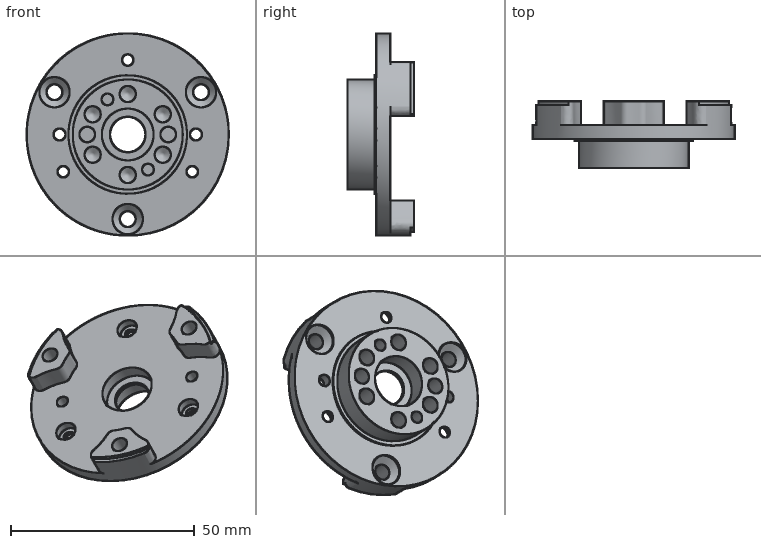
import cadquery as cq
import math


FLANGE_RADIUS = 27.5
FLANGE_THICKNESS = 3.85

HUB_RADIUS = 14.95
HUB_HEIGHT = 7.85
SHOULDER_RADIUS = 16.1
SHOULDER_HEIGHT = 0.5

BORE_RADIUS = 4.8
COUNTERBORE_RADIUS = 7.05
FRONT_COUNTERBORE_DEPTH = 6.7
BORE_LIP_THICKNESS = 1.0

HUB_HOLE_CIRCLE = 11.0
HUB_HOLE_DEPTH = 7.7
TAPPED_HOLE_DIAMETER = 4.4
TAPPED_HOLE_ANGLES = [30, 90, 150, 210, 270, 330]
DRILL_POINT_ANGLE = 118.0
LARGE_PIN_DIAMETER = 4.25
LARGE_PIN_ANGLES = [0, 180]
SMALL_PIN_DIAMETER = 3.2
SMALL_PIN_ANGLES = [120, 300]

OUTER_HOLE_CIRCLE = 20.25
OUTER_HOLE_DIAMETER = 3.0
OUTER_HOLE_LIP = 1.2
OUTER_COUNTERBORE_DIAMETER = 5.5
OUTER_HOLE_ANGLES = [90, 210, 330]
SIDE_HOLE_CIRCLE = 18.55
SIDE_HOLE_DIAMETER = 3.2
SIDE_HOLE_ANGLES = [0, 180]

LUG_ANGLES = [30, 150, 270]
LUG_HEIGHT = 6.5
LUG_INNER_RADIUS = 18.0
LUG_CORNER_RADIUS = 2.0
LUG_GAP_RADIUS = 16.5
LUG_STEP_RADIUS = 26.5
LUG_STEP_HEIGHT = 1.05
SCREW_CIRCLE = 23.0
SCREW_DIAMETER = 4.25
COUNTERSINK_DIAMETER = 8.25
COUNTERSINK_RIM_DEPTH = 0.6
COUNTERSINK_ANGLE = 90.0

BACK_FACE = FLANGE_THICKNESS + LUG_HEIGHT
FULL_TURN = 360


def points_on_circle(radius, angles):
    """X, Z positions at the given angles (degrees from +X towards +Z)."""
    return [
        (radius * math.cos(math.radians(a)), radius * math.sin(math.radians(a)))
        for a in angles
    ]


def plane_at(y):
    """Workplane across the axis at the given Y; extrusions run towards -Y."""
    return cq.Workplane("XZ", origin=(0, y, 0))


def cylinder(radius, y_front, y_back):
    return plane_at(y_back).circle(radius).extrude(y_back - y_front)


def hole_cutters(diameter, circle_radius, angles, y_front, y_back):
    centres = points_on_circle(circle_radius, angles)
    return plane_at(y_back).pushPoints(centres).circle(diameter / 2).extrude(y_back - y_front)


def make_lugs():
    """Ring parted by three large round gaps, with all upright corners rounded."""
    ring = cylinder(FLANGE_RADIUS, FLANGE_THICKNESS, BACK_FACE)
    ring = ring.cut(cylinder(LUG_INNER_RADIUS, FLANGE_THICKNESS, BACK_FACE))
    gaps = hole_cutters(
        2 * LUG_GAP_RADIUS, OUTER_HOLE_CIRCLE, OUTER_HOLE_ANGLES, FLANGE_THICKNESS, BACK_FACE
    )
    lugs = ring.cut(gaps).edges("|Y").fillet(LUG_CORNER_RADIUS)
    step_front = BACK_FACE - LUG_STEP_HEIGHT
    step = cylinder(FLANGE_RADIUS, step_front, BACK_FACE).cut(
        cylinder(LUG_STEP_RADIUS, step_front, BACK_FACE)
    )
    return lugs.cut(step)


def tapped_hole_cutter():
    """Blind hole along Y, ending in a drill point."""
    radius = TAPPED_HOLE_DIAMETER / 2
    point_length = radius / math.tan(math.radians(DRILL_POINT_ANGLE / 2))
    bottom = HUB_HOLE_DEPTH - HUB_HEIGHT
    profile = [
        (0, -HUB_HEIGHT),
        (radius, -HUB_HEIGHT),
        (radius, bottom),
        (0, bottom + point_length),
    ]
    return cq.Workplane("XY").polyline(profile).close().revolve(FULL_TURN, (0, 0, 0), (0, 1, 0))


def screw_hole_cutter():
    """Through hole along Y with a straight-rimmed countersink in the flange's front face."""
    hole_radius = SCREW_DIAMETER / 2
    head_radius = COUNTERSINK_DIAMETER / 2
    cone_length = (head_radius - hole_radius) / math.tan(math.radians(COUNTERSINK_ANGLE / 2))
    profile = [
        (0, 0),
        (head_radius, 0),
        (head_radius, COUNTERSINK_RIM_DEPTH),
        (hole_radius, COUNTERSINK_RIM_DEPTH + cone_length),
        (hole_radius, BACK_FACE),
        (0, BACK_FACE),
    ]
    return cq.Workplane("XY").polyline(profile).close().revolve(FULL_TURN, (0, 0, 0), (0, 1, 0))


body = cylinder(FLANGE_RADIUS, 0, FLANGE_THICKNESS)
body = body.union(cylinder(SHOULDER_RADIUS, -SHOULDER_HEIGHT, 0))
body = body.union(cylinder(HUB_RADIUS, -HUB_HEIGHT, 0))
body = body.union(make_lugs())

lip_front = FRONT_COUNTERBORE_DEPTH - HUB_HEIGHT
lip_back = lip_front + BORE_LIP_THICKNESS
body = body.cut(cylinder(COUNTERBORE_RADIUS, -HUB_HEIGHT, lip_front))
body = body.cut(cylinder(BORE_RADIUS, lip_front, lip_back))
body = body.cut(cylinder(COUNTERBORE_RADIUS, lip_back, FLANGE_THICKNESS))

for diameter, angles in [(LARGE_PIN_DIAMETER, LARGE_PIN_ANGLES), (SMALL_PIN_DIAMETER, SMALL_PIN_ANGLES)]:
    body = body.cut(
        hole_cutters(diameter, HUB_HOLE_CIRCLE, angles, -HUB_HEIGHT, HUB_HOLE_DEPTH - HUB_HEIGHT)
    )

for diameter, circle, angles, y_front in [
    (SIDE_HOLE_DIAMETER, SIDE_HOLE_CIRCLE, SIDE_HOLE_ANGLES, 0),
    (OUTER_HOLE_DIAMETER, OUTER_HOLE_CIRCLE, OUTER_HOLE_ANGLES, 0),
    (OUTER_COUNTERBORE_DIAMETER, OUTER_HOLE_CIRCLE, OUTER_HOLE_ANGLES, OUTER_HOLE_LIP),
]:
    body = body.cut(hole_cutters(diameter, circle, angles, y_front, FLANGE_THICKNESS))

for x, z in points_on_circle(HUB_HOLE_CIRCLE, TAPPED_HOLE_ANGLES):
    body = body.cut(tapped_hole_cutter().translate((x, 0, z)))
for x, z in points_on_circle(SCREW_CIRCLE, LUG_ANGLES):
    body = body.cut(screw_hole_cutter().translate((x, 0, z)))

result = body